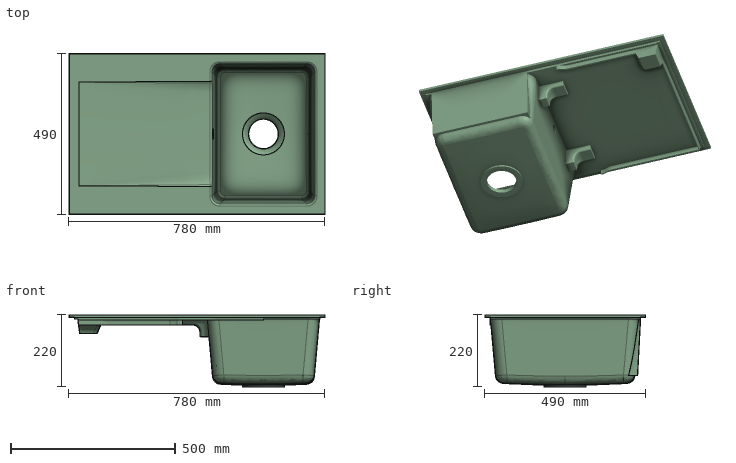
import cadquery as cq
import math

LENGTH = 780.0
WIDTH = 490.0
HEIGHT = 220.0

TOLERANCE = 0.1
CLEARANCE = 1.0

RIM_BOTTOM = -8.0
STEP_INSET = 16.0
STEP_BOTTOM = -13.0
PAN_HALF_Y = 229.0
PAN_BOTTOM = -16.0

BOWL_X = 202.0
DRAFT = math.radians(5.1)
OUTER_HALF_X = 171.0
OUTER_HALF_Y = 228.0
OUTER_CORNER = 35.0
OUTER_FLOOR = -214.5
OUTER_FLOOR_FILLET = 27.0
INNER_HALF_X = 157.0
INNER_HALF_Y = 213.5
INNER_CORNER = 24.0
INNER_FLOOR = -193.0
INNER_FLOOR_FILLET = 11.0
FLOOR_SLOPE = 0.042
OPENING_FILLET = 7.0

DRAIN_DIAMETER = 90.0
COLLAR_DIAMETER = 128.0
FUNNEL_DEPTH = 14.0
OVERFLOW_DIAMETER = 30.0
OVERFLOW_Z = -41.5

BOARD_START = -360.0
BOARD_HALF_WIDTH = 158.0
BOARD_DEPTH = 9.0
BOARD_FLANK = 34.0
FLANK_SHARE = 0.75
ROLL_OUTWARD = 2.5
ROLL_INWARD = 3.5
ROLL_DEPTH = 2.0
START_FRACTION = 0.01

SKIRT_END_X = -364.0
SKIRT_HALF_Y = 222.0
SKIRT_BOTTOM = -31.5
SKIRT_THICKNESS = 5.0
BEND_START = -83.0
BEND_MIDDLE = -61.0
BEND_END = -45.0

BACK_LEG_X = 50.0
BACK_LEG_BOTTOM = -185.0
BACK_FOOT_Y = 221.0

BRACKET_Y = 139.0
BRACKET_ARC_RADIUS = 20.0
BRACKET_FACE_X = 8.0
BRACKET_BOTTOM = -67.0
BRACKET_WIDTH = 52.0
BRACKET_TOE_WIDTH = 33.0
BRACKET_EDGE = 5.0

FOOT_BOTTOM = -57.0
FOOT_TOE_BACK = -358.0
FOOT_TOE_FRONT = -305.0
FOOT_FRONT = -294.0
FOOT_TOE_Y = 170.0
FOOT_ROOT_Y = 161.0
FOOT_CORNER = 12.0


def slab(x_min, x_max, half_y, z_top, z_bottom):
    """Rectangular block, symmetric about Y = 0."""
    size = (x_max - x_min, 2 * half_y, z_top - z_bottom)
    centre = ((x_min + x_max) / 2, 0, (z_top + z_bottom) / 2)
    return cq.Workplane("XY").box(*size).translate(centre)


def basin(half_x, half_y, z_top, corner, floor, floor_fillet):
    """Drafted block with a conical floor; half sizes apply at z_top, floor is at the drain."""
    shrink = (z_top - floor) * math.tan(DRAFT)
    outlines = []
    for inset, z in ((shrink, floor), (0, z_top)):
        outline = cq.Sketch().rect(2 * (half_x - inset), 2 * (half_y - inset)).vertices().fillet(corner)
        outlines.append(outline.moved(cq.Location(cq.Vector(BOWL_X, 0, z))))
    body = cq.Workplane("XY").placeSketch(*outlines).loft(ruled=True)
    reach = half_x + half_y
    drain_radius = COLLAR_DIAMETER / 2
    dish = (
        cq.Workplane("XZ")
        .polyline([
            (0, floor),
            (drain_radius, floor),
            (reach, floor + FLOOR_SLOPE * (reach - drain_radius)),
            (reach, z_top),
            (0, z_top),
        ])
        .close()
        .revolve(360, (0, 0, 0), (0, 1, 0))
        .translate((BOWL_X, 0, 0))
    )
    body = body.intersect(dish)
    floor_edges = [
        edge for edge in body.faces("%CONE").edges("not %LINE").vals()
        if edge.Center().z > floor + TOLERANCE
    ]
    return body.newObject(floor_edges).fillet(floor_fillet)


def rim():
    """Flat rim with a stepped underside."""
    plate = slab(-LENGTH / 2, LENGTH / 2, WIDTH / 2, 0, RIM_BOTTOM)
    step = slab(
        STEP_INSET - LENGTH / 2, LENGTH / 2 - STEP_INSET, WIDTH / 2 - STEP_INSET, RIM_BOTTOM, STEP_BOTTOM
    )
    pan = slab(SKIRT_END_X, BOWL_X, PAN_HALF_Y, STEP_BOTTOM, PAN_BOTTOM)
    return plate.union(step).union(pan)


def skirt_plan(inset):
    """Plan of the skirt, bending outwards to the bowl width on both long sides."""
    half_y = SKIRT_HALF_Y - inset
    bend = PAN_HALF_Y - SKIRT_HALF_Y
    middle_y = half_y + bend * (BEND_MIDDLE - BEND_START) / (BEND_END - BEND_START)
    end_y = half_y + bend
    return (
        cq.Workplane("XY", origin=(0, 0, SKIRT_BOTTOM))
        .moveTo(SKIRT_END_X + inset, 0)
        .lineTo(SKIRT_END_X + inset, half_y)
        .lineTo(BEND_START, half_y)
        .tangentArcPoint((BEND_MIDDLE, middle_y), relative=False)
        .tangentArcPoint((BEND_END, end_y), relative=False)
        .lineTo(BEND_END, 0)
        .close()
        .extrude(RIM_BOTTOM - SKIRT_BOTTOM)
    )


def skirt():
    """Thin wall round the underside of the draining board, open towards the bowl."""
    half = skirt_plan(0).cut(skirt_plan(SKIRT_THICKNESS))
    return half.union(half.mirror("XZ"))


def back_wall():
    """Tall wall closing the wedge between the pan edge and the drafted +Y side of the bowl."""
    return (
        cq.Workplane("YZ", origin=(BACK_LEG_X, 0, 0))
        .polyline([
            (PAN_HALF_Y, RIM_BOTTOM),
            (PAN_HALF_Y, SKIRT_BOTTOM),
            (BACK_FOOT_Y, BACK_LEG_BOTTOM),
            (0, BACK_LEG_BOTTOM),
            (0, RIM_BOTTOM),
        ])
        .close()
        .extrude(2 * (BOWL_X - BACK_LEG_X))
    )


def bracket(y):
    """Gusset under the draining board, curving down against the side of the bowl."""
    arc_start_x = BRACKET_FACE_X - BRACKET_ARC_RADIUS
    arc_bottom = SKIRT_BOTTOM - BRACKET_ARC_RADIUS
    profile = (
        cq.Workplane("XZ")
        .moveTo(BEND_END, RIM_BOTTOM)
        .lineTo(BEND_END, SKIRT_BOTTOM)
        .lineTo(arc_start_x, SKIRT_BOTTOM)
        .tangentArcPoint((BRACKET_FACE_X, arc_bottom), relative=False)
        .lineTo(BRACKET_FACE_X, BRACKET_BOTTOM)
        .lineTo(BOWL_X, BRACKET_BOTTOM)
        .lineTo(BOWL_X, RIM_BOTTOM)
        .close()
        .extrude(BRACKET_WIDTH, both=True)
    )
    section = (
        cq.Workplane("YZ", origin=(BEND_END, 0, 0))
        .polyline([
            (-BRACKET_WIDTH / 2, RIM_BOTTOM),
            (-BRACKET_TOE_WIDTH / 2, BRACKET_BOTTOM),
            (BRACKET_TOE_WIDTH / 2, BRACKET_BOTTOM),
            (BRACKET_WIDTH / 2, RIM_BOTTOM),
        ])
        .close()
        .extrude(BOWL_X - BEND_END)
    )
    face_box = cq.selectors.BoxSelector(
        (BRACKET_FACE_X - CLEARANCE, -BRACKET_WIDTH, BRACKET_BOTTOM - CLEARANCE),
        (BRACKET_FACE_X + CLEARANCE, BRACKET_WIDTH, arc_bottom - CLEARANCE),
    )
    return profile.intersect(section).edges(face_box).fillet(BRACKET_EDGE).translate((0, y, 0))


def foot():
    """Tapered foot under the far +Y corner, its outer end in line with the skirt."""
    profile = (
        cq.Workplane("XZ")
        .polyline([
            (SKIRT_END_X, STEP_BOTTOM),
            (SKIRT_END_X, FOOT_BOTTOM),
            (FOOT_TOE_FRONT, FOOT_BOTTOM),
            (FOOT_FRONT, SKIRT_BOTTOM),
            (FOOT_FRONT, STEP_BOTTOM),
        ])
        .close()
        .extrude(-SKIRT_HALF_Y)
    )
    section = (
        cq.Workplane("YZ", origin=(SKIRT_END_X, 0, 0))
        .polyline([
            (SKIRT_HALF_Y, STEP_BOTTOM),
            (SKIRT_HALF_Y, FOOT_BOTTOM),
            (FOOT_TOE_Y, FOOT_BOTTOM),
            (FOOT_ROOT_Y, SKIRT_BOTTOM),
            (FOOT_ROOT_Y, STEP_BOTTOM),
        ])
        .close()
        .extrude(FOOT_FRONT - SKIRT_END_X)
    )
    inner_corner = cq.selectors.BoxSelector(
        (FOOT_TOE_FRONT - CLEARANCE, FOOT_ROOT_Y - CLEARANCE, FOOT_BOTTOM + CLEARANCE),
        (FOOT_FRONT + CLEARANCE, FOOT_TOE_Y + CLEARANCE, STEP_BOTTOM - CLEARANCE),
    )
    return profile.intersect(section).edges(inner_corner).fillet(FOOT_CORNER)


def end_draft():
    """Wedge that slopes the outer end of the skirt and the foot inwards towards the bottom."""
    return (
        cq.Workplane("XZ")
        .polyline([
            (SKIRT_END_X, PAN_BOTTOM),
            (FOOT_TOE_BACK, FOOT_BOTTOM),
            (SKIRT_END_X, FOOT_BOTTOM),
        ])
        .close()
        .extrude(PAN_HALF_Y, both=True)
    )


def board_section(x, fraction):
    """Cross-section of the recess; its depth and rolled edges grow with the fraction of the run."""
    outer_y = BOARD_HALF_WIDTH + ROLL_OUTWARD * fraction
    roll_y = BOARD_HALF_WIDTH - ROLL_INWARD * fraction
    roll_z = -ROLL_DEPTH * fraction
    floor_y = roll_y - BOARD_FLANK
    floor_z = -BOARD_DEPTH * fraction
    flank_y = roll_y - BOARD_FLANK / 2
    flank_z = roll_z + FLANK_SHARE * (floor_z - roll_z)
    return (
        cq.Workplane("YZ", origin=(x, 0, 0))
        .moveTo(-outer_y, CLEARANCE)
        .lineTo(-outer_y, 0)
        .lineTo(-roll_y, roll_z)
        .spline(
            [(-flank_y, flank_z), (-floor_y, floor_z), (0, floor_z), (floor_y, floor_z),
             (flank_y, flank_z), (roll_y, roll_z)],
            includeCurrent=True,
        )
        .lineTo(outer_y, 0)
        .lineTo(outer_y, CLEARANCE)
        .close()
        .wires()
        .val()
    )


def board_recess(end_x):
    """Ramp from almost nothing at its start to full depth at the bowl."""
    sections = [board_section(BOARD_START, START_FRACTION), board_section(end_x, 1)]
    return cq.Workplane(cq.Solid.makeLoft(sections, True))


def drain_collar():
    """Short sleeve below the bowl floor round the drain."""
    return (
        cq.Workplane("XY", origin=(BOWL_X, 0, -HEIGHT))
        .circle(COLLAR_DIAMETER / 2)
        .extrude(HEIGHT + INNER_FLOOR)
    )


def drain_opening():
    """Conical funnel from the bowl floor into the drain hole."""
    funnel_r = COLLAR_DIAMETER / 2
    hole_r = DRAIN_DIAMETER / 2
    return (
        cq.Workplane("XZ")
        .moveTo(0, INNER_FLOOR + CLEARANCE)
        .lineTo(funnel_r, INNER_FLOOR + CLEARANCE)
        .lineTo(funnel_r, INNER_FLOOR)
        .lineTo(hole_r, INNER_FLOOR - FUNNEL_DEPTH)
        .lineTo(hole_r, -HEIGHT)
        .lineTo(0, -HEIGHT)
        .close()
        .revolve(360, (0, 0, 0), (0, 1, 0))
        .translate((BOWL_X, 0, 0))
    )


def overflow_hole():
    """Overflow through the bowl wall beside the draining board."""
    return (
        cq.Workplane("YZ", origin=(BOWL_X - OUTER_HALF_X, 0, OVERFLOW_Z))
        .circle(OVERFLOW_DIAMETER / 2)
        .extrude(OUTER_HALF_X / 2)
    )


def sink():
    """Whole sink, with the opening edge rounded into the draining board."""
    body = rim().union(skirt()).union(back_wall()).union(foot()).cut(end_draft())
    for side in (-1, 1):
        body = body.union(bracket(side * BRACKET_Y))
    outer = basin(OUTER_HALF_X, OUTER_HALF_Y, STEP_BOTTOM, OUTER_CORNER, OUTER_FLOOR, OUTER_FLOOR_FILLET)
    inner = basin(INNER_HALF_X, INNER_HALF_Y, 0, INNER_CORNER, INNER_FLOOR, INNER_FLOOR_FILLET)
    body = body.union(outer)
    body = body.union(drain_collar())
    body = body.cut(board_recess(BOWL_X - INNER_HALF_X + OPENING_FILLET))
    body = body.cut(inner)
    body = body.cut(drain_opening()).cut(overflow_hole())
    opening = [
        edge for edge in body.edges().vals()
        if edge.Center().z > -BOARD_DEPTH - CLEARANCE
        and edge.BoundingBox().xmin > BOWL_X - INNER_HALF_X - CLEARANCE
        and edge.BoundingBox().xmax < BOWL_X + INNER_HALF_X + CLEARANCE
        and edge.BoundingBox().ymax < INNER_HALF_Y + CLEARANCE
        and edge.BoundingBox().ymin > -INNER_HALF_Y - CLEARANCE
    ]
    return body.newObject(opening).fillet(OPENING_FILLET)


result = sink()